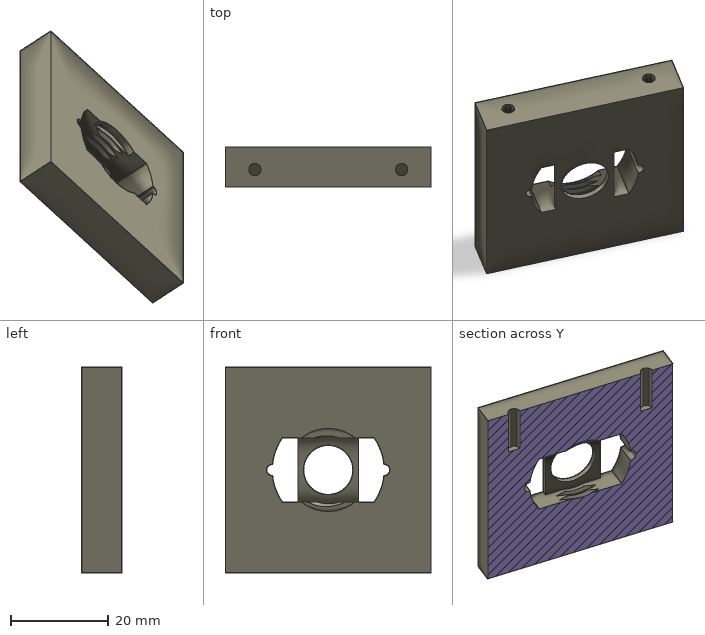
import cadquery as cq

plate_side = 42.3
plate_thickness = 8.25
front_y = -plate_thickness / 2
back_y = plate_thickness / 2

opening_radius = 11.5
opening_height = 13.2
notch_radius = 1.15
notch_offset = opening_radius

bridge_width = 12.5
bridge_thickness = 1.15
bridge_front_y = back_y - bridge_thickness
window_diameter = 10.1

counterbore_diameter = 17.1
counterbore_depth = 1.5
bore_diameter = 13.9
thread_pitch = 1.45
thread_root_diameter = 15.8
thread_groove_width = 1.15
groove_overlap = 0.1
thread_turns = 3.5
thread_rear_depth = 5.65

pin_hole_diameter = 2.5
pin_hole_depth = 10.0
pin_hole_offset = 15.1
pin_hole_front_distance = 3.6


def cylinder_along_y(diameter, y_start, length, x=0.0):
    """Cylinder whose axis runs along +Y from y_start, at mid height."""
    start = cq.Vector(x, y_start, 0)
    return cq.Workplane(cq.Solid.makeCylinder(diameter / 2, length, start, cq.Vector(0, 1, 0)))


def make_opening():
    disc = cylinder_along_y(2 * opening_radius, front_y, plate_thickness)
    opening = disc.intersect(cq.Workplane().box(plate_side, plate_thickness, opening_height))
    for side in (-1, 1):
        notch = cylinder_along_y(2 * notch_radius, front_y, plate_thickness, side * notch_offset)
        opening = opening.union(notch)
    bridge = cq.Workplane().box(bridge_width, bridge_thickness, opening_height)
    return opening.cut(bridge.translate((0, back_y - bridge_thickness / 2, 0)))


def make_thread_groove():
    """Right-hand V groove, built along Z and then turned so that it advances toward -Y."""
    bore_radius = bore_diameter / 2
    groove_depth = thread_root_diameter / 2 - bore_radius
    half_width = thread_groove_width / 2
    inner_half_width = half_width * (1 + groove_overlap / groove_depth)
    inner_radius = bore_radius - groove_overlap
    helix = cq.Wire.makeHelix(thread_pitch, thread_turns * thread_pitch, bore_radius)
    profile = cq.Workplane("XZ").polyline([
        (inner_radius, -inner_half_width),
        (thread_root_diameter / 2, 0),
        (inner_radius, inner_half_width),
    ]).close()
    groove = profile.sweep(cq.Workplane(helix), isFrenet=True)
    groove = groove.rotate((0, 0, 0), (0, 0, 1), 180)
    groove = groove.rotate((0, 0, 0), (1, 0, 0), 90)
    start_y = front_y + thread_rear_depth + thread_pitch / 4
    return groove.translate((0, start_y, 0))


def make_pin_holes():
    hole_y = front_y + pin_hole_front_distance
    return (
        cq.Workplane("XY", origin=(0, hole_y, plate_side / 2))
        .pushPoints([(-pin_hole_offset, 0), (pin_hole_offset, 0)])
        .circle(pin_hole_diameter / 2)
        .extrude(-pin_hole_depth)
    )


body = cq.Workplane().box(plate_side, plate_thickness, plate_side)
body = body.cut(cylinder_along_y(bore_diameter, front_y, bridge_front_y - front_y))
body = body.cut(make_thread_groove())
body = body.cut(cylinder_along_y(counterbore_diameter, front_y, counterbore_depth))
body = body.cut(make_opening())
body = body.cut(cylinder_along_y(window_diameter, bridge_front_y, bridge_thickness))
result = body.cut(make_pin_holes())